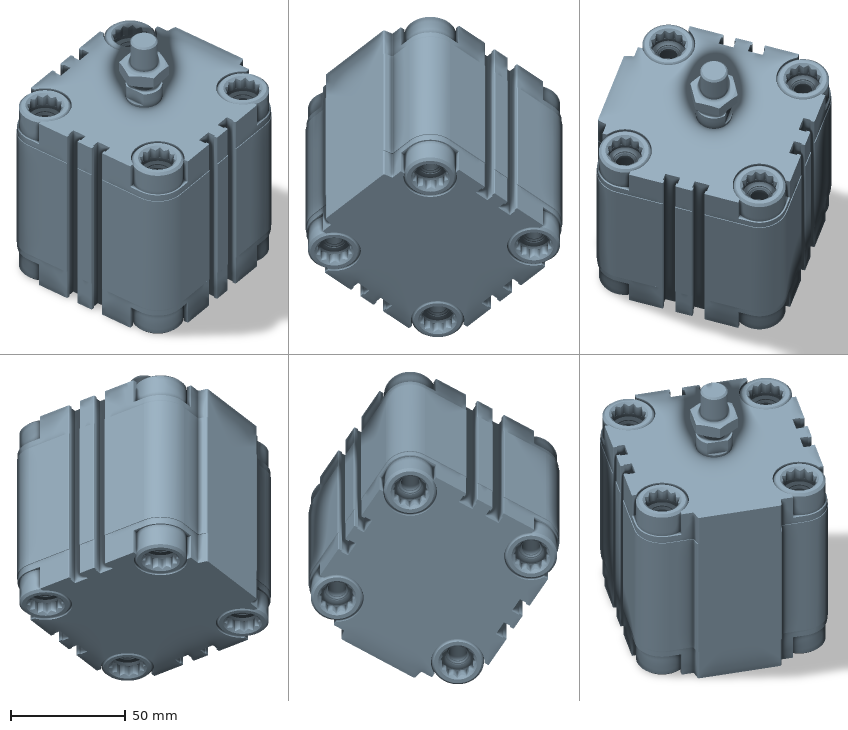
import cadquery as cq
import math

barrel_width = 87.0
cap_inset = 0.3
body_height = 90.0
cap_height = 14.7
screw_offset = 31.0
barrel_half = barrel_width / 2

tab_top = 47.5
tab_base_half = 20.0
tab_top_half = 19.1
tab_root = 36.5
tab_round = 0.9
tab_foot_round = 0.6

slot_spacing = 13.5
slot_neck = 5.6
slot_width = 6.8
slot_floor = 37.9
slot_lip = 41.4
lip_round = 0.4

collar_diameter = 23.0
collar_pocket_diameter = 23.5
collar_chamfer = 1.1
collar_height = 11.4
notch_start = 25.2

socket_mouth_diameter = 17.1
socket_point_radius = 8.0
socket_valley_radius = 7.0
socket_points = 12
socket_lead_depth = 1.5
socket_depth = 5.8
relief_diameter = 15.4
relief_depth = 7.8
seat_diameter = 10.7
seat_depth = 0.5
countersink_diameter = 9.7
countersink_end_diameter = 8.6
screw_hole_diameter = 8.0

rod_diameter = 16.0
rod_length = 7.4
rod_flat_width = 13.0
rod_flat_start = 1.2
neck_diameter = 10.5
neck_length = 2.1
thread_diameter = 12.0
thread_chamfer = (thread_diameter - neck_diameter) / 2
total_height = 121.5

nut_flats = 19.0
nut_height = 6.0
nut_bottom = body_height + 12.5
nut_face_diameter = 18.6
nut_chamfer_height = 0.5


def cone(radius_low, radius_high, z_low, height):
    """Truncated cone on the Z axis."""
    solid = cq.Solid.makeCone(radius_low, radius_high, height, cq.Vector(0, 0, z_low))
    return cq.Workplane(obj=solid)


def disc(diameter, z_low, height):
    """Cylinder on the Z axis."""
    return cq.Workplane(origin=(0, 0, z_low)).circle(diameter / 2).extrude(height)


def tab(inset, z_low, height):
    """Tapered tab running along the +Y side, its flanks moved in by the inset."""
    base_half = tab_base_half - inset
    top_half = tab_top_half - inset
    base = barrel_half - inset
    outline = [
        (-base_half, tab_root),
        (-base_half, base),
        (-top_half, tab_top),
        (top_half, tab_top),
        (base_half, base),
        (base_half, tab_root),
    ]
    block = cq.Workplane(origin=(0, 0, z_low)).polyline(outline).close().extrude(height)
    return block.faces(">Y").edges("|Z").fillet(tab_round)


def slot_cutter(face, x_centre, z_low, height):
    """T-slot with rounded lips, open towards a side face at Y = -face."""
    neck = slot_neck / 2
    wide = slot_width / 2
    return (
        cq.Workplane(origin=(x_centre, 0, z_low))
        .moveTo(-neck - lip_round, -face)
        .radiusArc((-neck, -face + lip_round), -lip_round)
        .lineTo(-neck, -slot_lip)
        .lineTo(-wide, -slot_lip)
        .lineTo(-wide, -slot_floor)
        .lineTo(wide, -slot_floor)
        .lineTo(wide, -slot_lip)
        .lineTo(neck, -slot_lip)
        .lineTo(neck, -face + lip_round)
        .radiusArc((neck + lip_round, -face), -lip_round)
        .close()
        .extrude(height)
    )


def section(inset, z_low, height):
    """Length of the housing: rounded square with the tab and the T-slots, set in by the inset."""
    half_width = barrel_half - inset
    block = (
        cq.Workplane(origin=(0, 0, z_low))
        .rect(2 * half_width, 2 * half_width)
        .extrude(height)
        .edges("|Z")
        .fillet(half_width - screw_offset)
        .union(tab(inset, z_low, height))
    )
    for side in (-1, 1):
        foot = (side * (tab_base_half - inset), half_width, z_low + height / 2)
        block = block.edges(cq.selectors.NearestToPointSelector(foot)).fillet(tab_foot_round)
    for side_angle in (-90, 0, 90):
        for x_centre in (-slot_spacing / 2, slot_spacing / 2):
            cutter = slot_cutter(half_width, x_centre, z_low, height)
            block = block.cut(cutter.rotate((0, 0, 0), (0, 0, 1), side_angle))
    return block


def corner_notch():
    """Cutter that frees the collar at the +X +Y corner of the top cap; the screw axis is on Z."""
    inner = notch_start - screw_offset
    size = barrel_half - notch_start
    notch_floor = body_height - collar_height
    collar = disc(collar_diameter, notch_floor, collar_height).faces(">Z").chamfer(collar_chamfer)
    return (
        cq.Workplane(origin=(inner, inner, notch_floor))
        .rect(size, size, centered=False)
        .extrude(collar_height)
        .union(disc(collar_pocket_diameter, notch_floor, collar_height))
        .cut(collar)
    )


def socket_cutter():
    """Twelve-point socket with its lead-in, relief, seat and countersink, sunk from the top."""
    step = math.pi / socket_points
    star = []
    for i in range(2 * socket_points):
        radius = socket_valley_radius if i % 2 else socket_point_radius
        star.append((radius * math.cos(i * step), radius * math.sin(i * step)))

    socket = (
        cq.Workplane(origin=(0, 0, body_height - socket_depth)).polyline(star).close().extrude(socket_depth)
    )
    lead_bottom = body_height - socket_lead_depth
    lead = cone(socket_valley_radius, socket_mouth_diameter / 2, lead_bottom, socket_lead_depth)
    relief_floor = body_height - relief_depth
    relief = disc(relief_diameter, relief_floor, relief_depth - socket_depth)
    seat_floor = relief_floor - seat_depth
    seat = disc(seat_diameter, seat_floor, seat_depth)
    countersink_depth = (countersink_diameter - countersink_end_diameter) / 2
    countersink = cone(
        countersink_end_diameter / 2,
        countersink_diameter / 2,
        seat_floor - countersink_depth,
        countersink_depth,
    )
    return socket.union(lead).union(relief).union(seat).union(countersink)


def make_housing():
    """Barrel and end caps, with the screw heads recessed alike in the four corners of both caps."""
    barrel_height = body_height - 2 * cap_height
    housing = (
        section(cap_inset, 0, cap_height)
        .union(section(0, cap_height, barrel_height))
        .union(section(cap_inset, cap_height + barrel_height, cap_height))
    )
    middle = (0, 0, body_height / 2)
    upper_cutters = [corner_notch(), socket_cutter()]
    lower_cutters = [cutter.mirror("XY", middle) for cutter in upper_cutters]
    through_hole = disc(screw_hole_diameter, 0, body_height)
    for corner_angle in (0, 90, 180, 270):
        for cutter in upper_cutters + lower_cutters + [through_hole]:
            placed = cutter.translate((screw_offset, screw_offset, 0))
            housing = housing.cut(placed.rotate((0, 0, 0), (0, 0, 1), corner_angle))
    return housing


def make_rod():
    """Stepped rod standing on the housing: wrench flats, undercut neck and threaded end."""
    flat_bottom = body_height + rod_flat_start
    shoulder = body_height + rod_length
    thread_start = shoulder + neck_length
    flats = (
        cq.Workplane(origin=(0, 0, flat_bottom))
        .rect(rod_diameter, rod_flat_width)
        .extrude(shoulder - flat_bottom)
        .intersect(disc(rod_diameter, flat_bottom, shoulder - flat_bottom))
    )
    thread = disc(thread_diameter, thread_start, total_height - thread_start).edges().chamfer(thread_chamfer)
    return (
        disc(rod_diameter, body_height, rod_flat_start)
        .union(flats)
        .union(disc(neck_diameter, shoulder, neck_length))
        .union(thread)
    )


def make_nut():
    """Hexagon nut with corners bevelled on both faces, bored to the thread diameter."""
    corner_diameter = nut_flats / math.cos(math.pi / 6)
    corner_radius = corner_diameter / 2
    face_radius = nut_face_diameter / 2
    nut_top = nut_bottom + nut_height
    bevel = (
        cone(face_radius, corner_radius, nut_bottom, nut_chamfer_height)
        .union(disc(corner_diameter, nut_bottom + nut_chamfer_height, nut_height - 2 * nut_chamfer_height))
        .union(cone(corner_radius, face_radius, nut_top - nut_chamfer_height, nut_chamfer_height))
    )
    hexagon = (
        cq.Workplane(origin=(0, 0, nut_bottom))
        .polygon(6, corner_diameter)
        .extrude(nut_height)
        .rotate((0, 0, 0), (0, 0, 1), 30)
    )
    return hexagon.intersect(bevel).cut(disc(thread_diameter, nut_bottom, nut_height))


housing = make_housing()
rod = make_rod()
nut = make_nut()

result = cq.Compound.makeCompound([housing.val(), rod.val(), nut.val()])